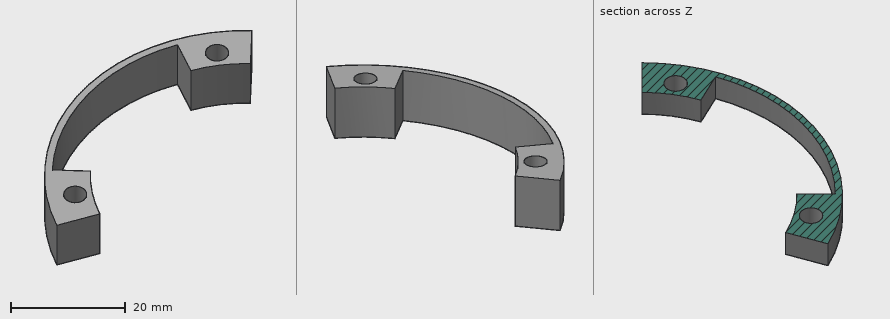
import cadquery as cq
import math

height = 10.0
length = 58.15
outer_radius = 35.05
wall_thickness = 1.35
pad_inner_radius = 27.05
pad_start_angle = 33.6
hole_diameter = 4.0
hole_circle_radius = 30.05
hole_angle = 44.7

wall_inner_radius = outer_radius - wall_thickness
end_angle = math.degrees(math.asin(length / 2 / outer_radius))


def polar(radius, angle):
    """Point at an angle in degrees measured from the -X axis towards +Y."""
    a = math.radians(angle)
    return (-radius * math.cos(a), radius * math.sin(a))


def ring_sector(inner_radius, sector_outer_radius, start, end):
    """Full-height slice of a ring, closed by radial end faces."""
    middle = (start + end) / 2
    return (
        cq.Workplane("XY")
        .moveTo(*polar(sector_outer_radius, start))
        .threePointArc(polar(sector_outer_radius, middle), polar(sector_outer_radius, end))
        .lineTo(*polar(inner_radius, end))
        .threePointArc(polar(inner_radius, middle), polar(inner_radius, start))
        .close()
        .extrude(height)
    )


result = ring_sector(wall_inner_radius, outer_radius, -end_angle, end_angle)

for start, end in ((pad_start_angle, end_angle), (-end_angle, -pad_start_angle)):
    result = result.union(ring_sector(pad_inner_radius, outer_radius, start, end))

hole_centres = [polar(hole_circle_radius, side * hole_angle) for side in (1, -1)]
holes = cq.Workplane("XY").pushPoints(hole_centres).circle(hole_diameter / 2).extrude(height)
result = result.cut(holes)